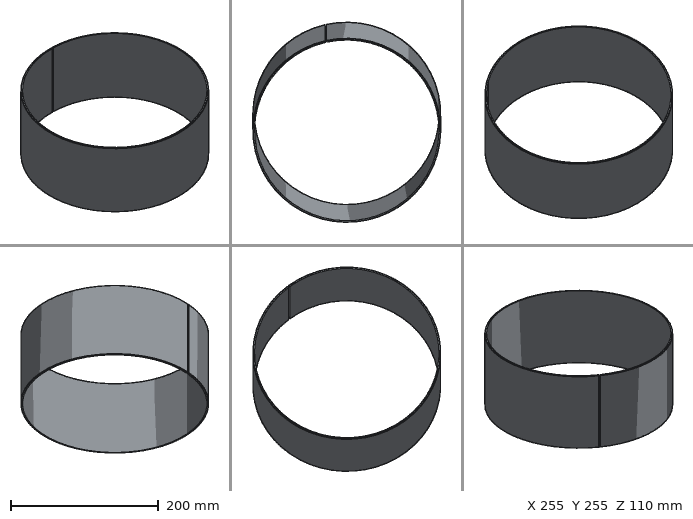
import cadquery as cq

outer_diameter = 255.0
height = 110.0
wall = 2.5
edge_chamfer = 0.65
slit_width = 2.0

outer_radius = outer_diameter / 2
inner_radius = outer_radius - wall


def chamfered_ring():
    """Thin cylindrical band with both outer rims chamfered."""
    cylinder = cq.Workplane("XY").circle(outer_radius).extrude(height)
    cylinder = cylinder.faces("<Z or >Z").chamfer(edge_chamfer)
    bore = cq.Workplane("XY").circle(inner_radius).extrude(height)
    return cylinder.cut(bore)


def slit():
    """Full-height cutter on the -X side, with one face on the XZ plane."""
    return cq.Workplane("XY").box(
        outer_radius, slit_width, height, centered=False
    ).translate((-outer_radius, 0, 0))


result = chamfered_ring().cut(slit())